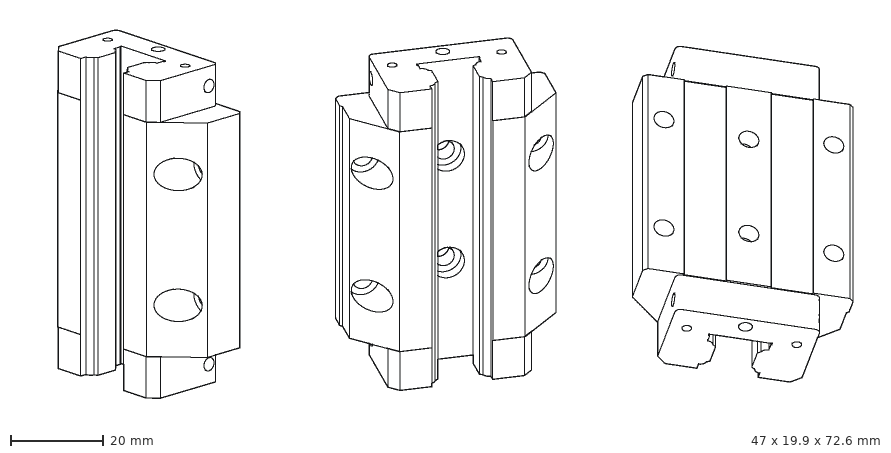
import cadquery as cq
import math


total_length = 72.6
total_width = 47.0
total_height = 19.9
cap_length = 9.5
block_length = total_length - 2 * cap_length
half_width = total_width / 2

top_chamfer = 0.95
edge_step = 0.5
reference_edge_y = 15.3
foot_half_width = 14.1
pad_inner_x = 14.4
centre_pad_half = 5.0
pad_height = 0.3

cap_half_width = 16.1
cap_top_y = 19.4
cap_underside_y = 0.1
cap_flank = 2.2
cap_top_radius = 1.2

slot_half_width = 6.8
slot_ceiling_y = 12.35
ceiling_groove_half = 7.05
ceiling_groove_bottom_y = 11.9
ridge_half_width = 4.65
ridge_centre_y = 5.8
ridge_flat_half = 2.6
ridge_slant_half = 3.1
ridge_root_half = 4.2
ridge_slant_x = 5.4

bolt_diameter = 4.4
head_diameter = 7.4
flange_hole_x = 18.95
flange_hole_z = 14.95
flange_head_floor_y = 13.0
centre_hole_z = 13.0
centre_head_depth = 3.0

lube_diameter = 3.0
lube_y = 16.7
lube_from_end = 4.5
cap_screw_diameter = 2.0
cap_screw_x = 12.3
cap_screw_y = 13.2
cap_screw_depth = 4.0
drill_point_half_angle = 59
drill_point_depth = cap_screw_diameter / 2 / math.tan(math.radians(drill_point_half_angle))


def prism(sketch, length):
    """Extrude a closed XY outline symmetrically about Z = 0."""
    return sketch.close().extrude(length / 2, both=True)


def make_block():
    relief_x = half_width - edge_step
    outline = (
        cq.Workplane("XY")
        .moveTo(-foot_half_width, 0)
        .lineTo(-relief_x, relief_x - foot_half_width)
        .lineTo(-relief_x, reference_edge_y - edge_step)
        .lineTo(-half_width, reference_edge_y)
        .lineTo(-half_width, total_height - top_chamfer)
        .lineTo(-half_width + top_chamfer, total_height)
        .lineTo(half_width - top_chamfer, total_height)
        .lineTo(half_width, total_height - top_chamfer)
        .lineTo(half_width, half_width - foot_half_width)
        .lineTo(foot_half_width, 0)
    )
    block = prism(outline, block_length)
    for side in (-1, 1):
        recess = cq.Workplane("XY").box(pad_inner_x - centre_pad_half, 2 * pad_height, block_length)
        recess_x = side * (pad_inner_x + centre_pad_half) / 2
        block = block.cut(recess.translate((recess_x, total_height, 0)))
    return block


def make_caps():
    """Full-length bar whose two ends stand out of the block as caps."""
    bar = (
        cq.Workplane("XY")
        .box(2 * cap_half_width, cap_top_y - cap_underside_y, total_length)
        .translate((0, (cap_top_y + cap_underside_y) / 2, 0))
    )
    bar = bar.edges("|Z and <Y").chamfer(cap_flank)
    bar = bar.edges("|Z and >Y").fillet(cap_top_radius)
    middle = cq.Workplane("XY").box(total_width, 2 * total_height, block_length)
    return bar.cut(middle)


def make_slot():
    """Rail passage: a rectangular channel pinched by two rounded raceway ridges."""
    channel = (
        cq.Workplane("XY")
        .box(2 * slot_half_width, slot_ceiling_y, total_length)
        .translate((0, slot_ceiling_y / 2, 0))
    )
    groove_height = slot_ceiling_y - ceiling_groove_bottom_y
    groove = (
        cq.Workplane("XY")
        .box(2 * ceiling_groove_half, groove_height, total_length)
        .translate((0, slot_ceiling_y - groove_height / 2, 0))
    )
    channel = channel.union(groove)

    run = slot_half_width - ridge_slant_x
    rise = ridge_root_half - ridge_slant_half
    radius = (run**2 + rise**2) / (2 * rise)
    right_ridge = prism(
        cq.Workplane("XY")
        .moveTo(slot_half_width, -ridge_root_half)
        .radiusArc((ridge_slant_x, -ridge_slant_half), radius)
        .lineTo(ridge_half_width, -ridge_flat_half)
        .lineTo(ridge_half_width, ridge_flat_half)
        .lineTo(ridge_slant_x, ridge_slant_half)
        .radiusArc((slot_half_width, ridge_root_half), radius),
        total_length,
    ).translate((0, ridge_centre_y, 0))
    return channel.cut(right_ridge).cut(right_ridge.mirror("YZ"))


def bore_y(x, z, diameter, bottom, top):
    """Cylinder along +Y."""
    return cq.Workplane(
        cq.Solid.makeCylinder(diameter / 2, top - bottom, cq.Vector(x, bottom, z), cq.Vector(0, 1, 0))
    )


def mounting_hole(x, z, head_floor):
    """Through bolt hole with a head recess opening downwards."""
    bolt = bore_y(x, z, bolt_diameter, 0, total_height)
    return bolt.union(bore_y(x, z, head_diameter, 0, head_floor))


def cap_holes():
    """Holes of the +Z cap: cross bore along X, end bore meeting it, two blind screw holes."""
    end = total_length / 2
    cross_bore = cq.Solid.makeCylinder(
        lube_diameter / 2,
        2 * cap_half_width,
        cq.Vector(-cap_half_width, lube_y, end - lube_from_end),
        cq.Vector(1, 0, 0),
    )
    down = cq.Vector(0, 0, -1)
    end_bore = cq.Solid.makeCylinder(lube_diameter / 2, lube_from_end, cq.Vector(0, lube_y, end), down)
    holes = cq.Workplane(cross_bore).union(cq.Workplane(end_bore))
    for x in (-cap_screw_x, cap_screw_x):
        radius = cap_screw_diameter / 2
        shank = cq.Solid.makeCylinder(radius, cap_screw_depth, cq.Vector(x, cap_screw_y, end), down)
        tip_start = cq.Vector(x, cap_screw_y, end - cap_screw_depth)
        tip = cq.Solid.makeCone(radius, 0, drill_point_depth, tip_start, down)
        holes = holes.union(cq.Workplane(shank)).union(cq.Workplane(tip))
    return holes


result = make_block().union(make_caps()).cut(make_slot())

for side in (-1, 1):
    result = result.cut(mounting_hole(0, side * centre_hole_z, slot_ceiling_y + centre_head_depth))
    for x in (-flange_hole_x, flange_hole_x):
        result = result.cut(mounting_hole(x, side * flange_hole_z, flange_head_floor_y))

upper_holes = cap_holes()
result = result.cut(upper_holes).cut(upper_holes.mirror("XY"))